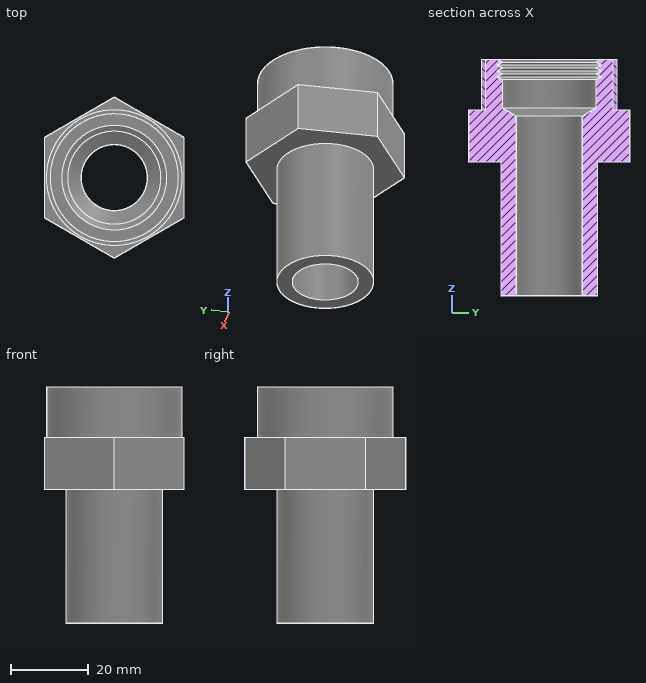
import cadquery as cq
import math

shank_length = 34.5
hex_height = 13.5
collar_height = 13.0
hex_top = shank_length + hex_height
total_height = hex_top + collar_height

shank_diameter = 25.0
hex_across_flats = 36.0
hex_across_corners = hex_across_flats / math.cos(math.radians(30))
ring_diameter = 35.0
ring_wall = 1.0
collar_diameter = ring_diameter - 2 * ring_wall

bore_diameter = 17.0
socket_diameter = 24.0
socket_depth = 12.6
seat_angle = 120.0
seat_depth = (socket_diameter - bore_diameter) / 2 / math.tan(math.radians(seat_angle / 2))
groove_diameter = 27.0
groove_pitch = 1.5
groove_count = 3
first_ridge_depth = groove_pitch / 2


def cylinder(diameter, bottom, height):
    """Upright cylinder on the Z axis."""
    return cq.Workplane("XY").workplane(offset=bottom).circle(diameter / 2).extrude(height)


def make_hexagon():
    """Hexagonal grip with two flats facing -X and +X."""
    return (
        cq.Workplane("XY")
        .workplane(offset=shank_length)
        .polygon(6, hex_across_corners)
        .extrude(hex_height)
        .rotate((0, 0, 0), (0, 0, 1), 30)
    )


def make_cavity():
    """Bore, conical seat and socket with V grooves standing for the thread."""
    bore_radius = bore_diameter / 2
    socket_radius = socket_diameter / 2
    groove_radius = groove_diameter / 2
    seat_top = total_height - socket_depth
    first_ridge = total_height - first_ridge_depth

    profile = [
        (0, 0),
        (bore_radius, 0),
        (bore_radius, seat_top - seat_depth),
        (socket_radius, seat_top),
    ]
    for groove in reversed(range(groove_count)):
        upper_ridge = first_ridge - groove * groove_pitch
        profile.append((socket_radius, upper_ridge - groove_pitch))
        profile.append((groove_radius, upper_ridge - groove_pitch / 2))
    profile += [
        (socket_radius, first_ridge),
        (groove_radius, total_height),
        (0, total_height),
    ]
    return cq.Workplane("XZ").polyline(profile).close().revolve(360, (0, 0, 0), (0, 1, 0))


def make_fitting():
    """Shank, hexagon and threaded collar in one piece."""
    shank = cylinder(shank_diameter, 0, shank_length)
    collar = cylinder(collar_diameter, hex_top, collar_height)
    return shank.union(make_hexagon()).union(collar).cut(make_cavity())


def make_reinforcing_ring():
    """Thin ring around the collar, resting on the hexagon."""
    outside = cylinder(ring_diameter, hex_top, collar_height)
    opening = cylinder(collar_diameter, hex_top, collar_height)
    return outside.cut(opening)


fitting = make_fitting().solids()
reinforcing_ring = make_reinforcing_ring().solids()

result = cq.Compound.makeCompound([fitting.val(), reinforcing_ring.val()])